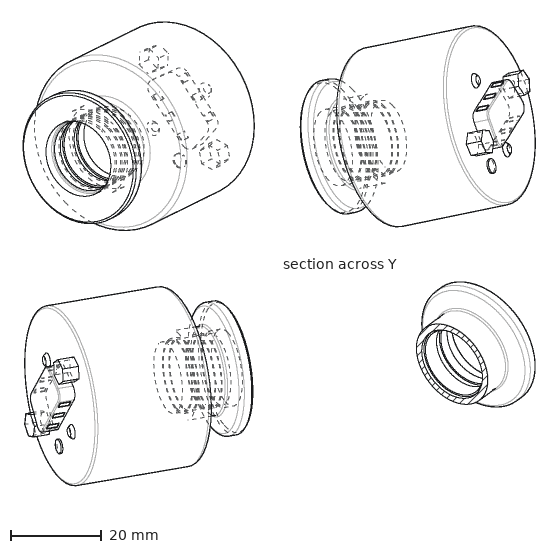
import cadquery as cq
import math

total_length = 43.85
connector_height = 3.8
body_diameter = 40.2
body_front = 12.0
body_back = total_length - connector_height
body_front_fillet = 1.0
body_back_fillet = 0.5

flange_diameter = 30.0
flange_thickness = 3.03
flange_chamfer = 0.5
flange_cone_angle = 15.0
flange_rim_fillet = 1.0
neck_diameter = 20.0
neck_flange_fillet = 0.5
neck_body_fillet = 1.0

counterbore_diameter = 17.2
counterbore_depth = 2.5
counterbore_fillet = 0.25
bore_diameter = 16.0
groove_diameter = 16.8
groove_width = 1.55
front_land = 2.3
middle_land = 4.0

connector_angle = 130.0
shell_mean_length = 16.85
shell_width = 9.25
shell_end_slope = 10.0
shell_corner_radius = 2.05
shell_edge_fillet = 0.25
window_count = 3
window_pitch = 5.1
window_width = 1.7
window_height = 2.55
window_middle = body_back + 1.8
window_depth = 0.15

post_sides = 6
post_across_flats = 5.0
post_spacing = 25.1
post_turns = (15.0, 33.0)

screw_base_diameter = 3.3
screw_top_diameter = 2.0
screw_height = 0.8
screw_bulge = 0.05
screw_offset = 9.05
button_diameter = 3.3
button_rim = 0.4
button_height = 0.85
button_drop = 12.05

match_tolerance = 0.005


def cylinder(diameter, start, end):
    """Round bar on the part axis between two Y positions."""
    bar = cq.Workplane("XZ", origin=(0, start, 0)).circle(diameter / 2)
    return bar.extrude(start - end)


def ring_at(shape, diameter, y):
    """Select the circular edge with this diameter at this Y position."""
    return shape.edges("%CIRCLE").filter(
        lambda edge: abs(edge.Center().y - y) < match_tolerance
        and abs(edge.radius() - diameter / 2) < match_tolerance
    )


def make_turned_body():
    cone_rise = (flange_diameter - neck_diameter) / 2 * math.tan(math.radians(flange_cone_angle))
    neck_start = flange_thickness + cone_rise
    outline = [
        (0, 0),
        (flange_diameter / 2, 0),
        (flange_diameter / 2, flange_thickness),
        (neck_diameter / 2, neck_start),
        (neck_diameter / 2, body_front),
        (body_diameter / 2, body_front),
        (body_diameter / 2, body_back),
        (0, body_back),
    ]
    body = cq.Workplane("XY").polyline(outline).close().revolve(360, (0, 0, 0), (0, 1, 0))
    body = ring_at(body, flange_diameter, 0).chamfer(flange_chamfer)
    body = ring_at(body, flange_diameter, flange_thickness).fillet(flange_rim_fillet)
    body = ring_at(body, neck_diameter, neck_start).fillet(neck_flange_fillet)
    body = ring_at(body, neck_diameter, body_front).fillet(neck_body_fillet)
    body = ring_at(body, body_diameter, body_front).fillet(body_front_fillet)
    return ring_at(body, body_diameter, body_back).fillet(body_back_fillet)


def make_bore():
    first_groove = counterbore_depth + front_land
    second_groove = first_groove + groove_width + middle_land
    bore_depth = second_groove + groove_width + front_land
    counterbore = cylinder(counterbore_diameter, 0, counterbore_depth)
    bore = counterbore.faces(">Y").edges().fillet(counterbore_fillet)
    bore = bore.union(cylinder(bore_diameter, 0, bore_depth))
    for start in (first_groove, second_groove):
        bore = bore.union(cylinder(groove_diameter, start, start + groove_width))
    return bore


def make_shell():
    """Connector shell with its long side along X and its wider side towards +Z."""
    half_width = shell_width / 2
    slope_shift = half_width * math.tan(math.radians(shell_end_slope))
    wide = shell_mean_length / 2 + slope_shift
    narrow = shell_mean_length / 2 - slope_shift
    corners = [
        (-wide, half_width),
        (wide, half_width),
        (narrow, -half_width),
        (-narrow, -half_width),
    ]
    base = cq.Workplane("XZ", origin=(0, body_back, 0))
    shell = base.polyline(corners).close().extrude(-connector_height)
    shell = shell.edges("|Y").fillet(shell_corner_radius)
    shell = shell.faces(">Y").edges().fillet(shell_edge_fillet)
    for index in range(window_count):
        x = (index - (window_count - 1) / 2) * window_pitch
        for side in (-1, 1):
            window = cq.Workplane("XY").box(window_width, window_height, 2 * window_depth)
            shell = shell.cut(window.translate((x, window_middle, side * half_width)))
    return shell


def make_post(turn):
    """Hexagonal post on the part axis."""
    across_corners = post_across_flats / math.cos(math.pi / post_sides)
    base = cq.Workplane("XZ", origin=(0, body_back, 0))
    post = base.polygon(post_sides, across_corners).extrude(-connector_height)
    return post.rotate((0, 0, 0), (0, 1, 0), -turn)


def make_screw():
    """Domed screw head on the part axis, with a flat top."""
    base = screw_base_diameter / 2
    top = screw_top_diameter / 2
    top_level = body_back + screw_height
    middle = ((base + top) / 2 + screw_bulge, body_back + screw_height / 2 + screw_bulge)
    profile = cq.Workplane("XY").moveTo(0, body_back).lineTo(base, body_back)
    profile = profile.threePointArc(middle, (top, top_level)).lineTo(0, top_level).close()
    return profile.revolve(360, (0, 0, 0), (0, 1, 0))


def make_button():
    """Contact button on the part axis: a short rim under a spherical cap."""
    radius = button_diameter / 2
    cap_height = button_height - button_rim
    sphere_radius = (radius**2 + cap_height**2) / (2 * cap_height)
    tip = body_back + button_height
    half_angle = math.asin(radius / sphere_radius) / 2
    middle = (
        sphere_radius * math.sin(half_angle),
        tip - sphere_radius * (1 - math.cos(half_angle)),
    )
    profile = cq.Workplane("XY").moveTo(0, body_back).lineTo(radius, body_back)
    profile = profile.lineTo(radius, body_back + button_rim).threePointArc(middle, (0, tip)).close()
    return profile.revolve(360, (0, 0, 0), (0, 1, 0))


def make_connector():
    """Shell, posts and screws, turned together to the connector angle."""
    connector = make_shell()
    for side, turn in zip((1, -1), post_turns):
        connector = connector.union(make_post(turn).translate((side * post_spacing / 2, 0, 0)))
    for side in (1, -1):
        connector = connector.union(make_screw().translate((0, 0, side * screw_offset)))
    return connector.rotate((0, 0, 0), (0, 1, 0), -connector_angle)


result = make_turned_body().cut(make_bore())
result = result.union(make_connector())
result = result.union(make_button().translate((0, 0, -button_drop)))